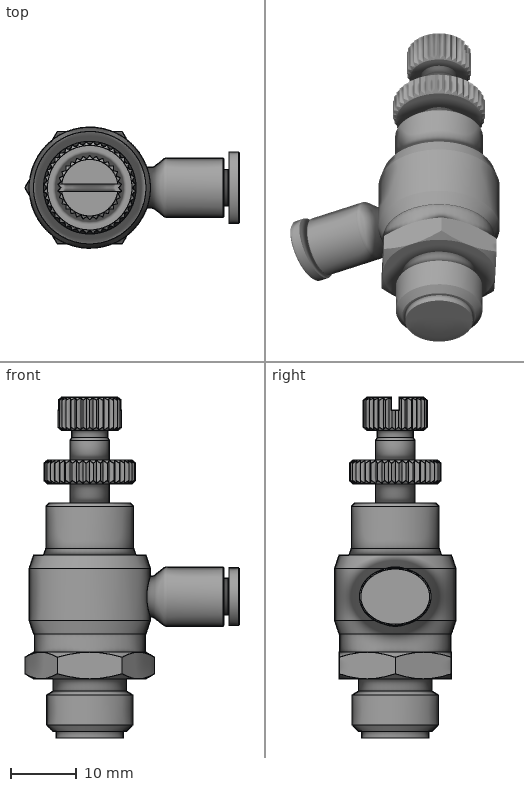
import cadquery as cq
import math

overall_height = 51.7
spigot_top = 1.05
thread_chamfer_top = 2.0
thread_top = 6.5
undercut_bottom = 7.15
hex_bottom = 9.0
hex_top = 13.05
body_bottom = 15.8
body_top = 27.75
body_bevel_height = 2.0
shoulder_top = 28.8
sleeve_top = 35.65
nut_bottom = 38.55
nut_top = 42.2
stem_bevel_bottom = 45.15
stem_bevel_top = 45.6
head_bottom = 46.7

spigot_radius = 5.1
undercut_radius = 5.6
thread_radius = 6.55
swivel_radius = 8.45
body_radius = 9.2
body_end_radius = 8.55
shoulder_radius = 7.05
sleeve_radius = 6.65
sleeve_chamfer = 0.5
stem_radius = 3.0
stem_neck_radius = 2.75

hex_across_flats = 17.05
hex_chamfer_angle = 30.0

head_tip_radius = 4.85
head_root_radius = 4.4
head_face_radius = 4.3
head_chamfer_height = 0.45
head_teeth = 30
nut_tip_radius = 7.0
nut_root_radius = 6.5
nut_face_radius = 6.4
nut_chamfer_height = 0.5
nut_teeth = 40
slot_width = 1.2
slot_depth = 1.95

arm_axis_height = 21.45
arm_neck_radius = 3.1
arm_radius = 4.5
arm_neck_end = 9.35
arm_cone_start = 10.0
arm_cone_start_radius = 3.35
arm_cone_end = 11.2
arm_cone_end_radius = 4.35
arm_barrel_start = 11.85
arm_end = 20.35
arm_end_chamfer = 0.15
groove_radius = 2.8
groove_chamfer = 0.15
release_start = 21.1
release_end = 22.75
release_half_width = 5.45
release_half_height = 4.4
release_chamfer = 0.2


def make_core():
    """Turned core: spigot, thread, swivel, body, sleeve and adjusting stem."""
    outline = [
        (0, 0),
        (spigot_radius, 0),
        (spigot_radius, spigot_top),
        (undercut_radius, spigot_top),
        (thread_radius, thread_chamfer_top),
        (thread_radius, thread_top),
        (undercut_radius, undercut_bottom),
        (undercut_radius, hex_bottom),
        (swivel_radius, hex_bottom),
        (swivel_radius, body_bottom),
        (body_end_radius, body_bottom),
        (body_radius, body_bottom + body_bevel_height),
        (body_radius, body_top - body_bevel_height),
        (body_end_radius, body_top),
        (shoulder_radius, body_top),
        (sleeve_radius, shoulder_top),
        (sleeve_radius, sleeve_top - sleeve_chamfer),
        (sleeve_radius - sleeve_chamfer, sleeve_top),
        (stem_radius, sleeve_top),
        (stem_radius, stem_bevel_bottom),
        (stem_neck_radius, stem_bevel_top),
        (stem_neck_radius, head_bottom),
        (0, head_bottom),
    ]
    return cq.Workplane("XZ").polyline(outline).close().revolve(360, (0, 0, 0), (0, 1, 0))


def make_bevelled_disc(bottom, top, face_radius, rim_radius, bevel_height):
    """Disc about Z whose both edges are bevelled from the face out to the rim."""
    outline = [
        (0, bottom),
        (face_radius, bottom),
        (rim_radius, bottom + bevel_height),
        (rim_radius, top - bevel_height),
        (face_radius, top),
        (0, top),
    ]
    return cq.Workplane("XZ").polyline(outline).close().revolve(360, (0, 0, 0), (0, 1, 0))


def make_hexagon():
    """Hexagon with corners on the X axis, its corners chamfered at both ends."""
    corner_radius = hex_across_flats / 2 / math.cos(math.pi / 6)
    face_radius = hex_across_flats / 2
    bevel_height = (corner_radius - face_radius) * math.tan(math.radians(hex_chamfer_angle))
    prism = (
        cq.Workplane("XY")
        .workplane(offset=hex_bottom)
        .polygon(6, 2 * corner_radius)
        .extrude(hex_top - hex_bottom)
    )
    return prism.intersect(
        make_bevelled_disc(hex_bottom, hex_top, face_radius, corner_radius, bevel_height)
    )


def make_knob(bottom, top, tip_radius, root_radius, face_radius, bevel_height, teeth):
    """Knob with pointed straight knurling, a valley on the +X axis."""
    half_pitch = math.pi / teeth
    zigzag = []
    for i in range(2 * teeth):
        radius = tip_radius if i % 2 else root_radius
        zigzag.append((radius * math.cos(i * half_pitch), radius * math.sin(i * half_pitch)))
    toothed = cq.Workplane("XY").workplane(offset=bottom).polyline(zigzag).close().extrude(top - bottom)
    return toothed.intersect(make_bevelled_disc(bottom, top, face_radius, tip_radius, bevel_height))


def make_slotted_head():
    """Adjusting head with a screwdriver slot along X."""
    head = make_knob(
        head_bottom, overall_height, head_tip_radius, head_root_radius,
        head_face_radius, head_chamfer_height, head_teeth,
    )
    slot = (
        cq.Workplane("XY")
        .workplane(offset=overall_height - slot_depth)
        .rect(2 * head_tip_radius, slot_width)
        .extrude(slot_depth)
    )
    return head.cut(slot)


def make_arm():
    """Turned side arm, with rounded transitions from neck to cone to barrel."""
    profile = (
        cq.Workplane("XZ", origin=(0, 0, arm_axis_height))
        .lineTo(0, arm_neck_radius)
        .lineTo(arm_neck_end, arm_neck_radius)
        .tangentArcPoint((arm_cone_start, arm_cone_start_radius), relative=False)
        .lineTo(arm_cone_end, arm_cone_end_radius)
        .tangentArcPoint((arm_barrel_start, arm_radius), relative=False)
        .lineTo(arm_end - arm_end_chamfer, arm_radius)
        .lineTo(arm_end, arm_radius - arm_end_chamfer)
        .lineTo(arm_end, groove_radius)
        .lineTo(release_start - groove_chamfer, groove_radius)
        .lineTo(release_start, groove_radius - groove_chamfer)
        .lineTo(release_start, 0)
        .close()
    )
    return profile.revolve(360, (0, 0, 0), (1, 0, 0))


def make_release_ring():
    """Oval push ring closing the end of the arm, wide along Y."""
    return (
        cq.Workplane("YZ", origin=(release_start, 0, arm_axis_height))
        .ellipse(release_half_width, release_half_height)
        .extrude(release_end - release_start)
        .faces(">X")
        .chamfer(release_chamfer)
    )


lock_nut = make_knob(
    nut_bottom, nut_top, nut_tip_radius, nut_root_radius,
    nut_face_radius, nut_chamfer_height, nut_teeth,
)

result = (
    make_core()
    .union(make_hexagon())
    .union(lock_nut)
    .union(make_slotted_head())
    .union(make_arm())
    .union(make_release_ring())
)